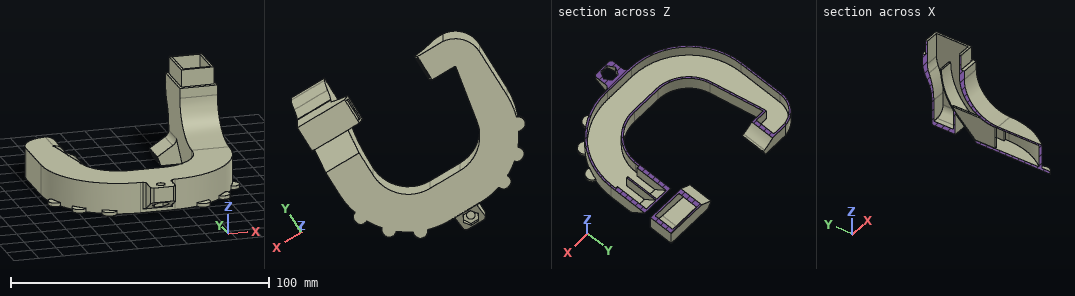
import cadquery as cq
import math

WALL = 1.0
FLOOR = 1.5
BODY_TOP = 12.5
BODY_HALF_WIDTH = 38.0
OUTER_RADIUS = 31.0
INNER_RADIUS = 16.0
BEND_X = BODY_HALF_WIDTH - OUTER_RADIUS
BEND_Y = OUTER_RADIUS
DUCT_INNER_X = 22.8
INNER_BEND_X = DUCT_INNER_X - INNER_RADIUS
ARM_END_Y = 62.4
LEFT_ARM_WIDTH = 11.0
LEFT_ARM_INNER_X = -BODY_HALF_WIDTH + LEFT_ARM_WIDTH
NOZZLE_FRONT_Y = ARM_END_Y - LEFT_ARM_WIDTH

TOWER_FRONT_Y = 47.0
TOWER_BACK_Y = 67.0
TOWER_HEEL_Y = 62.6
TOWER_TOP = 32.5
SPIGOT_TOP = 39.5
ELBOW_Z = 28.5
ELBOW_RADIUS = ELBOW_Z - BODY_TOP
SPIGOT_MARGIN_X = 1.0
SPIGOT_MARGIN_Y = 1.5
SHAFT_LEFT_X = DUCT_INNER_X + SPIGOT_MARGIN_X + WALL
SHAFT_RIGHT_X = BODY_HALF_WIDTH - SPIGOT_MARGIN_X - WALL
SHAFT_FRONT_Y = TOWER_FRONT_Y + SPIGOT_MARGIN_Y + WALL
SHAFT_BACK_Y = TOWER_BACK_Y - SPIGOT_MARGIN_Y - WALL
SHAFT_INFLECTION = 0.25

PARTITION_RADIUS = 26.8
PARTITION_THICKNESS = 0.7
RAMP_ANGLE = 45.0
RIB_THICKNESS = 0.8
RIB_TOP = 13.0

TIP_X = 15.0
TIP_Z = 3.8
TIP_UNDERCUT = 1.5
SLOT_TOP = 2.6
SLOT_REACH = 3.0
RIGHT_SLOPE_END = (21.2, 7.9)
RIGHT_FILLET_MID = (22.3, 8.95)
RIGHT_FILLET_TOP = 10.4
LEFT_INFLECTION = (-22.3, 9.8)
LEFT_CURVE_END = (-15.8, 4.0)
NOZZLE_FLOOR_BEND_X = 32.0
NOZZLE_FLOOR_BEND_Z = 2.5
NOZZLE_ROOF_Z = 8.9

TAB_WIDTH = 10.0
TAB_LENGTH = 8.0
TAB_TIP_BOTTOM = 6.5
TAB_CHAMFER = 1.0
SCREW_Y = -4.15
SCREW_DIAMETER = 3.3
NUT_CORNER_DIAMETER = 6.7
NUT_POCKET_TOP = 8.5
SCREW_BRIDGE = 0.3

FOOT_RADIUS = 2.9
FOOT_ANGLES = (22.5, 45.0, 67.5)


def extrude_x(profile, x_start, x_end):
    """Extrude a closed YZ profile between two X positions."""
    return profile.extrude(x_end - x_start).translate((x_start, 0, 0))


def extrude_y(profile, y_start, y_end):
    """Extrude a closed XZ profile between two Y positions."""
    return profile.extrude(-(y_end - y_start)).translate((0, y_start, 0))


def box(x_start, x_end, y_start, y_end, z_start, z_end):
    size = (x_end - x_start, y_end - y_start, z_end - z_start)
    return cq.Workplane("XY").box(*size, centered=False).translate((x_start, y_start, z_start))


def bend_point(side, bend_x, radius, angle):
    """Point on a front bend; side is -1 or +1, angle is in degrees below the side axis."""
    a = math.radians(angle)
    return (side * (bend_x + radius * math.cos(a)), BEND_Y - radius * math.sin(a))


def left_tangent_angle():
    """Angle on the left inner bend where the sloping inner wall touches it."""
    dx = -INNER_BEND_X - LEFT_ARM_INNER_X
    dy = NOZZLE_FRONT_Y - BEND_Y
    return math.degrees(math.acos(INNER_RADIUS / math.hypot(dx, dy)) - math.atan2(dy, dx))


def duct_outline():
    touch = left_tangent_angle()
    diagonal = LEFT_ARM_WIDTH * math.sqrt(0.5)
    return (
        cq.Workplane("XY")
        .moveTo(BODY_HALF_WIDTH, ARM_END_Y)
        .lineTo(BODY_HALF_WIDTH, BEND_Y)
        .threePointArc(bend_point(1, BEND_X, OUTER_RADIUS, 45), (BEND_X, 0))
        .lineTo(-BEND_X, 0)
        .threePointArc(bend_point(-1, BEND_X, OUTER_RADIUS, 45), (-BODY_HALF_WIDTH, BEND_Y))
        .lineTo(-BODY_HALF_WIDTH, NOZZLE_FRONT_Y)
        .threePointArc(
            (LEFT_ARM_INNER_X - diagonal, NOZZLE_FRONT_Y + diagonal),
            (LEFT_ARM_INNER_X, ARM_END_Y),
        )
        .lineTo(LEFT_ARM_INNER_X, NOZZLE_FRONT_Y)
        .lineTo(*bend_point(-1, INNER_BEND_X, INNER_RADIUS, touch))
        .threePointArc(
            bend_point(-1, INNER_BEND_X, INNER_RADIUS, (touch + 90) / 2),
            (-INNER_BEND_X, BEND_Y - INNER_RADIUS),
        )
        .lineTo(INNER_BEND_X, BEND_Y - INNER_RADIUS)
        .threePointArc(bend_point(1, INNER_BEND_X, INNER_RADIUS, 45), (DUCT_INNER_X, BEND_Y))
        .lineTo(DUCT_INNER_X, ARM_END_Y)
        .close()
    )


def elbow_point(radius, angle):
    """YZ point on an arc about the elbow centre; angle is in degrees below horizontal."""
    a = math.radians(angle)
    return (BEND_Y + radius * math.cos(a), ELBOW_Z - radius * math.sin(a))


def elbow_ramp_y(radius, z):
    """Y where the sloping tangent below an elbow arc reaches height z."""
    y, tangent_z = elbow_point(radius, RAMP_ANGLE)
    return y - (tangent_z - z) * math.tan(math.radians(RAMP_ANGLE))


def tower():
    back_mid = ((TOWER_BACK_Y + TOWER_HEEL_Y) / 2, (ELBOW_Z + BODY_TOP) / 2)
    profile = (
        cq.Workplane("YZ")
        .moveTo(BEND_Y, BODY_TOP)
        .threePointArc(elbow_point(ELBOW_RADIUS, 45), (TOWER_FRONT_Y, ELBOW_Z))
        .lineTo(TOWER_FRONT_Y, TOWER_TOP)
        .lineTo(TOWER_BACK_Y, TOWER_TOP)
        .lineTo(TOWER_BACK_Y, ELBOW_Z)
        .tangentArcPoint(back_mid, relative=False)
        .tangentArcPoint((TOWER_HEEL_Y, BODY_TOP), relative=False)
        .close()
    )
    spigot = box(
        DUCT_INNER_X + SPIGOT_MARGIN_X, BODY_HALF_WIDTH - SPIGOT_MARGIN_X,
        TOWER_FRONT_Y + SPIGOT_MARGIN_Y, TOWER_BACK_Y - SPIGOT_MARGIN_Y,
        TOWER_TOP, SPIGOT_TOP,
    )
    return extrude_x(profile, DUCT_INNER_X, BODY_HALF_WIDTH).union(spigot)


def elbow_undercut():
    """Open wedge below the sloping elbow wall, in front of the right nozzle."""
    outer = PARTITION_RADIUS + PARTITION_THICKNESS
    wedge_front = elbow_ramp_y(outer, 0)
    wedge_height = (NOZZLE_FRONT_Y - wedge_front) / math.tan(math.radians(RAMP_ANGLE))
    profile = cq.Workplane("YZ").polyline([
        (wedge_front, 0),
        (NOZZLE_FRONT_Y, 0),
        (NOZZLE_FRONT_Y, wedge_height),
    ]).close()
    return extrude_x(profile, DUCT_INNER_X, BODY_HALF_WIDTH)


def right_nozzle():
    profile = (
        cq.Workplane("XZ")
        .moveTo(TIP_X + TIP_UNDERCUT, 0)
        .lineTo(TIP_X, TIP_Z)
        .lineTo(*RIGHT_SLOPE_END)
        .threePointArc(RIGHT_FILLET_MID, (DUCT_INNER_X, RIGHT_FILLET_TOP))
        .lineTo(DUCT_INNER_X, 0)
        .close()
    )
    return extrude_y(profile, NOZZLE_FRONT_Y, ARM_END_Y)


def left_nozzle():
    profile = (
        cq.Workplane("XZ")
        .moveTo(LEFT_ARM_INNER_X - WALL, BODY_TOP)
        .lineTo(LEFT_ARM_INNER_X, BODY_TOP)
        .tangentArcPoint(LEFT_INFLECTION, relative=False)
        .tangentArcPoint(LEFT_CURVE_END, relative=False)
        .lineTo(-TIP_X, TIP_Z)
        .lineTo(-TIP_X - TIP_UNDERCUT, 0)
        .lineTo(LEFT_ARM_INNER_X - WALL, 0)
        .close()
    )
    return extrude_y(profile, NOZZLE_FRONT_Y, ARM_END_Y)


def screw_tab():
    half = TAB_WIDTH / 2
    outline = cq.Workplane("XY").polyline([
        (-half - TAB_CHAMFER, 0),
        (-half, -TAB_CHAMFER),
        (-half, -TAB_LENGTH + TAB_CHAMFER),
        (-half + TAB_CHAMFER, -TAB_LENGTH),
        (half - TAB_CHAMFER, -TAB_LENGTH),
        (half, -TAB_LENGTH + TAB_CHAMFER),
        (half, -TAB_CHAMFER),
        (half + TAB_CHAMFER, 0),
        (half + TAB_CHAMFER, WALL),
        (-half - TAB_CHAMFER, WALL),
    ]).close().extrude(BODY_TOP)
    side_profile = cq.Workplane("YZ").polyline([
        (WALL, BODY_TOP),
        (-TAB_LENGTH, BODY_TOP),
        (-TAB_LENGTH, TAB_TIP_BOTTOM),
        (0, FLOOR),
        (WALL, FLOOR),
    ]).close()
    tab = outline.intersect(extrude_x(side_profile, -TAB_WIDTH, TAB_WIDTH))
    hole_bottom = NUT_POCKET_TOP + SCREW_BRIDGE
    screw_hole = (
        cq.Workplane("XY", origin=(0, SCREW_Y, hole_bottom))
        .circle(SCREW_DIAMETER / 2)
        .extrude(BODY_TOP - hole_bottom)
    )
    nut_pocket = (
        cq.Workplane("XY", origin=(0, SCREW_Y, 0))
        .polygon(6, NUT_CORNER_DIAMETER)
        .extrude(NUT_POCKET_TOP)
    )
    return tab.cut(screw_hole).cut(nut_pocket)


def feet():
    centers = [bend_point(side, BEND_X, OUTER_RADIUS, angle) for side in (-1, 1) for angle in FOOT_ANGLES]
    return cq.Workplane("XY").pushPoints(centers).circle(FOOT_RADIUS).extrude(FLOOR)


def elbow_cavity():
    """Air path from the inlet down in front of the partition and into the body."""
    inner_radius = ELBOW_RADIUS + WALL
    arc_y = SHAFT_FRONT_Y - inner_radius
    diagonal = inner_radius * math.sqrt(0.5)
    profile = (
        cq.Workplane("YZ")
        .moveTo(SHAFT_FRONT_Y, ELBOW_Z)
        .lineTo(BEND_Y + PARTITION_RADIUS, ELBOW_Z)
        .threePointArc(
            elbow_point(PARTITION_RADIUS, RAMP_ANGLE / 2),
            elbow_point(PARTITION_RADIUS, RAMP_ANGLE),
        )
        .lineTo(elbow_ramp_y(PARTITION_RADIUS, FLOOR), FLOOR)
        .lineTo(arc_y, FLOOR)
        .lineTo(arc_y, BODY_TOP - WALL)
        .threePointArc((arc_y + diagonal, ELBOW_Z - diagonal), (SHAFT_FRONT_Y, ELBOW_Z))
        .close()
    )
    inlet = box(SHAFT_LEFT_X, SHAFT_RIGHT_X, SHAFT_FRONT_Y, SHAFT_BACK_Y, ELBOW_Z, SPIGOT_TOP)
    center_x = (SHAFT_LEFT_X + SHAFT_RIGHT_X) / 2
    rib = box(
        center_x - RIB_THICKNESS / 2, center_x + RIB_THICKNESS / 2,
        arc_y, BEND_Y + PARTITION_RADIUS, 0, RIB_TOP,
    )
    return extrude_x(profile, SHAFT_LEFT_X, SHAFT_RIGHT_X).cut(rib).union(inlet)


def body_cavity():
    arc_y = SHAFT_FRONT_Y - ELBOW_RADIUS - WALL
    cavity = duct_outline().offset2D(-WALL).extrude(BODY_TOP - WALL - FLOOR).translate((0, 0, FLOOR))
    beyond_elbow = box(DUCT_INNER_X, BODY_HALF_WIDTH, arc_y, ARM_END_Y, 0, BODY_TOP)
    return cavity.cut(beyond_elbow)


def nozzle_shaft_cavity():
    """Air path behind the partition, down to the right nozzle."""
    outer = PARTITION_RADIUS + PARTITION_THICKNESS
    front_y = NOZZLE_FRONT_Y + WALL
    back_y = ARM_END_Y - WALL
    front_angle = math.degrees(math.acos((front_y - BEND_Y) / outer))
    back_mid = (
        SHAFT_BACK_Y - (SHAFT_BACK_Y - back_y) * SHAFT_INFLECTION,
        ELBOW_Z - ELBOW_RADIUS * SHAFT_INFLECTION,
    )
    profile = (
        cq.Workplane("YZ")
        .moveTo(SHAFT_BACK_Y, ELBOW_Z + WALL)
        .lineTo(SHAFT_BACK_Y, ELBOW_Z)
        .tangentArcPoint(back_mid, relative=False)
        .tangentArcPoint((back_y, BODY_TOP), relative=False)
        .lineTo(back_y, NOZZLE_ROOF_Z - WALL)
        .lineTo(front_y, NOZZLE_ROOF_Z - WALL)
        .lineTo(*elbow_point(outer, front_angle))
        .threePointArc(elbow_point(outer, front_angle / 2), (BEND_Y + outer, ELBOW_Z))
        .lineTo(BEND_Y + outer, ELBOW_Z + WALL)
        .close()
    )
    return extrude_x(profile, SHAFT_LEFT_X, SHAFT_RIGHT_X)


def right_nozzle_cavity():
    bend = SHAFT_RIGHT_X - NOZZLE_FLOOR_BEND_X
    side = bend * math.sqrt(0.5)
    bend_top = NOZZLE_FLOOR_BEND_Z + bend
    profile = (
        cq.Workplane("XZ")
        .moveTo(TIP_X - SLOT_REACH, FLOOR)
        .lineTo(TIP_X + TIP_UNDERCUT, FLOOR)
        .lineTo(NOZZLE_FLOOR_BEND_X, NOZZLE_FLOOR_BEND_Z)
        .threePointArc((NOZZLE_FLOOR_BEND_X + side, bend_top - side), (SHAFT_RIGHT_X, bend_top))
        .lineTo(SHAFT_RIGHT_X, NOZZLE_ROOF_Z)
        .lineTo(SHAFT_LEFT_X, NOZZLE_ROOF_Z)
        .lineTo(TIP_X + WALL, SLOT_TOP)
        .lineTo(TIP_X - SLOT_REACH, SLOT_TOP)
        .close()
    )
    return extrude_y(profile, NOZZLE_FRONT_Y + WALL, ARM_END_Y - WALL)


def left_nozzle_cavity():
    roof_start = LEFT_ARM_INNER_X - WALL
    profile = (
        cq.Workplane("XZ")
        .moveTo(roof_start - WALL, BODY_TOP - WALL)
        .lineTo(roof_start, BODY_TOP - WALL)
        .tangentArcPoint((LEFT_INFLECTION[0] - WALL, LEFT_INFLECTION[1] - WALL), relative=False)
        .tangentArcPoint((LEFT_CURVE_END[0] - WALL, SLOT_TOP), relative=False)
        .lineTo(-TIP_X + SLOT_REACH, SLOT_TOP)
        .lineTo(-TIP_X + SLOT_REACH, FLOOR)
        .lineTo(roof_start - WALL, FLOOR)
        .close()
    )
    return extrude_y(profile, NOZZLE_FRONT_Y + WALL, ARM_END_Y - WALL)


shell = duct_outline().extrude(BODY_TOP).cut(elbow_undercut())
for piece in (tower(), right_nozzle(), left_nozzle(), screw_tab(), feet()):
    shell = shell.union(piece)

for cavity in (
    body_cavity(),
    elbow_cavity(),
    nozzle_shaft_cavity(),
    right_nozzle_cavity(),
    left_nozzle_cavity(),
):
    shell = shell.cut(cavity)

result = shell